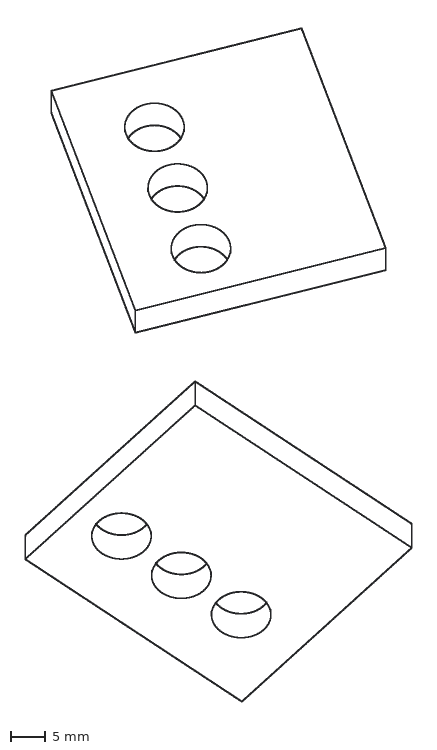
import cadquery as cq

plate_length = 41.4
plate_width = 38.1
plate_thickness = 5.5

hole_diameter = 8.64
hole_count = 3
hole_pitch = 11.43
first_hole_from_left = 10.7
hole_row_from_front = 12.4


def make_plate():
    """Rectangular plate with its lower front left corner at the origin."""
    return cq.Workplane("XY").box(plate_length, plate_width, plate_thickness, centered=False)


def make_hole_row():
    """Cylinders that cut the row of holes through the full thickness."""
    centers = [
        (first_hole_from_left + index * hole_pitch, hole_row_from_front)
        for index in range(hole_count)
    ]
    return (
        cq.Workplane("XY")
        .pushPoints(centers)
        .circle(hole_diameter / 2)
        .extrude(plate_thickness)
    )


result = make_plate().cut(make_hole_row())